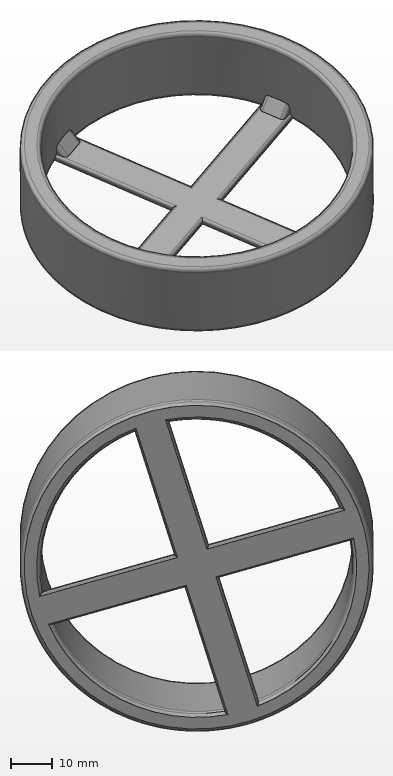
import cadquery as cq

outer_diameter = 85.5
inner_diameter = 75.5
ring_height = 22.0
ring_top_radius = 1.0
ring_bevel = 1.0
ring_bevel_blend = 1.0

arm_width = 8.5
arm_thickness = 2.0
arm_top_radius = 0.7
arm_bevel = 0.5
arm_bevel_blend = 0.7
arm_reach = (outer_diameter + inner_diameter) / 4

gusset_width = arm_width - 2 * arm_top_radius
gusset_run = 3.0
gusset_rise = 3.0
gusset_edge_radius = 1.0
gusset_count = 4


def edges_at_height(body, height):
    """Edges of the body whose centre lies at the given height."""
    reach = outer_diameter
    tolerance = 0.01
    slab = cq.selectors.BoxSelector(
        (-reach, -reach, height - tolerance),
        (reach, reach, height + tolerance),
    )
    return body.edges(slab)


def make_ring():
    """Ring with rounded top edges and softened bevels along its bottom edges."""
    ring = cq.Workplane("XY").circle(outer_diameter / 2).circle(inner_diameter / 2).extrude(ring_height)
    ring = ring.faces(">Z").edges().fillet(ring_top_radius)
    ring = ring.faces("<Z").edges().chamfer(ring_bevel)
    return edges_at_height(ring, ring_bevel).fillet(ring_bevel_blend)


def make_bar():
    """Bar along X with rounded upper edges and softened bevels along its lower edges."""
    bar = cq.Workplane("XY").rect(2 * arm_reach, arm_width).extrude(arm_thickness)
    bar = bar.edges("|X and >Z").fillet(arm_top_radius)
    bar = bar.edges("|X and <Z").chamfer(arm_bevel)
    return edges_at_height(bar, arm_bevel).edges("|X").fillet(arm_bevel_blend)


def make_cross():
    """Two bars crossing at the ring's centre, giving four arms."""
    bar = make_bar()
    return bar.union(bar.rotate((0, 0, 0), (0, 0, 1), 90))


def make_gusset():
    """Gusset on the +X arm, rounded along both edges of its slope and ending inside the ring wall."""
    toe = inner_diameter / 2 - gusset_run
    length = arm_reach - toe
    height = length * gusset_rise / gusset_run
    gusset = (
        cq.Workplane("XZ")
        .moveTo(toe, arm_thickness)
        .lineTo(arm_reach, arm_thickness)
        .lineTo(arm_reach, arm_thickness + height)
        .close()
        .extrude(gusset_width / 2, both=True)
    )
    slope_edges = gusset.edges("not (|X or |Y or |Z)")
    return slope_edges.fillet(gusset_edge_radius)


result = make_ring().union(make_cross())
gusset = make_gusset()
for index in range(gusset_count):
    angle = index * 360 / gusset_count
    result = result.union(gusset.rotate((0, 0, 0), (0, 0, 1), angle))